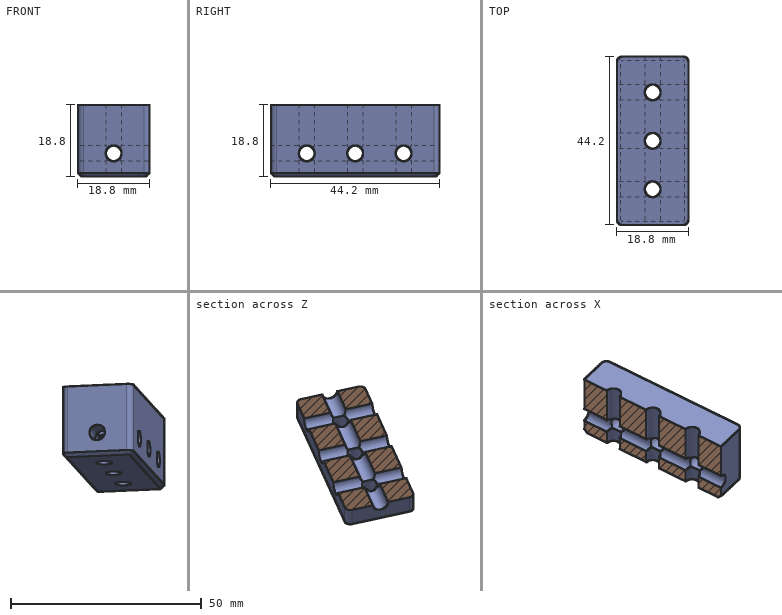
import cadquery as cq

width = 18.8
length = 44.2
height = 18.8
corner_radius = 1.5
bottom_chamfer = 1.0

hole_diameter = 4.05
hole_pitch = 12.7
hole_drop = hole_pitch
hole_z = height - hole_drop
hole_rows = (-hole_pitch, 0, hole_pitch)


def make_block():
    """Rounded block resting on Z = 0 with a chamfered bottom edge."""
    block = cq.Workplane("XY").box(width, length, height, centered=(True, True, False))
    block = block.edges("|Z").fillet(corner_radius)
    return block.faces("<Z").edges().chamfer(bottom_chamfer)


def make_vertical_holes():
    """Row of holes through the full height."""
    points = [(0, y) for y in hole_rows]
    return cq.Workplane("XY").pushPoints(points).circle(hole_diameter / 2).extrude(height)


def make_cross_holes():
    """Row of holes through the full width, meeting the vertical holes."""
    points = [(y, hole_z) for y in hole_rows]
    return cq.Workplane("YZ").pushPoints(points).circle(hole_diameter / 2).extrude(width / 2, both=True)


def make_lengthwise_hole():
    """Single hole through the full length, meeting all the other holes."""
    profile = cq.Workplane("XZ").center(0, hole_z).circle(hole_diameter / 2)
    return profile.extrude(length / 2, both=True)


result = make_block()
for holes in (make_vertical_holes(), make_cross_holes(), make_lengthwise_hole()):
    result = result.cut(holes)